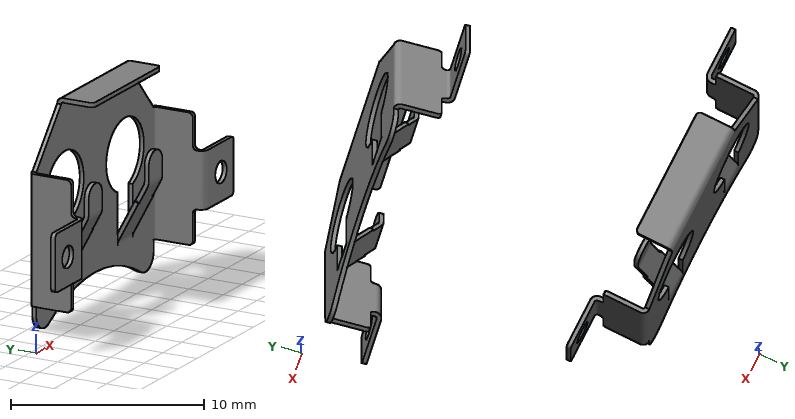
import math

import cadquery as cq


thickness = 0.25
bend_inner = 0.1
bend_outer = bend_inner + thickness
corner_radius = 0.25

overall_width = 19.0
overall_depth = 3.17
top_z = 6.9
bottom_z = -5.1

wall_outer_x = 6.6
wall_inner_x = wall_outer_x - thickness
wall_half_height = 3.6
wall_depth = 2.5

tab_end_x = overall_width / 2
tab_half_height = 1.6
tab_bend_inner = 0.15
tab_bend_outer = tab_bend_inner + thickness
tab_hole_x = 8.15
tab_hole_diameter = 1.2

plate_half_width = wall_outer_x - bend_outer
plate_top_z = top_z - bend_outer
lobe_radius = 0.9
notch_top_z = -3.6

flange_half_width = 3.6
flange_depth = 2.15

window_x = 3.2
window_z = 1.9
window_diameter = 4.0
slot_bottom_z = -2.8
finger_root_width = 1.6
finger_tip_width = 1.45
finger_tip_z = 2.43
finger_reach = 2.05
finger_angle = math.radians(28)
finger_bend_inner = 0.5
finger_bend_outer = finger_bend_inner + thickness
finger_step_distance = 2.5


def arc_point(center, radius, angle):
    """Point on a circle at an angle in radians."""
    return (center[0] + radius * math.cos(angle), center[1] + radius * math.sin(angle))


def make_plate():
    """Flat plate with chamfered shoulders, two rounded lobes and a concave lower edge."""
    lobe_x = plate_half_width - lobe_radius
    lobe_z = bottom_z + lobe_radius
    rise = lobe_z - notch_top_z
    notch_radius = (lobe_x**2 + rise**2 - lobe_radius**2) / (2 * (lobe_radius - rise))
    notch_z = notch_top_z - notch_radius
    to_notch = math.atan2(notch_z - lobe_z, -lobe_x)
    tangent_x, tangent_z = arc_point((lobe_x, lobe_z), lobe_radius, to_notch)
    mid_x, mid_z = arc_point((lobe_x, lobe_z), lobe_radius, to_notch / 2)
    return (
        cq.Workplane("XZ")
        .moveTo(-flange_half_width, plate_top_z)
        .lineTo(flange_half_width, plate_top_z)
        .lineTo(plate_half_width, wall_half_height)
        .lineTo(plate_half_width, lobe_z)
        .threePointArc((mid_x, mid_z), (tangent_x, tangent_z))
        .threePointArc((0, notch_top_z), (-tangent_x, tangent_z))
        .threePointArc((-mid_x, mid_z), (-plate_half_width, lobe_z))
        .lineTo(-plate_half_width, wall_half_height)
        .close()
        .extrude(thickness)
    )


def make_top_flange():
    """Flange along the top edge, bent toward -Y, with rounded free corners."""
    flange = (
        cq.Workplane("YZ")
        .moveTo(0, plate_top_z)
        .radiusArc((-bend_outer, top_z), -bend_outer)
        .lineTo(-flange_depth, top_z)
        .lineTo(-flange_depth, top_z - thickness)
        .lineTo(-bend_outer, top_z - thickness)
        .radiusArc((-thickness, plate_top_z), bend_inner)
        .close()
        .extrude(flange_half_width, both=True)
    )
    return flange.edges("|Z and <Y").fillet(corner_radius)


def make_wall_outline():
    """Block holding the side outline of a wall: a tall part and a narrower neck for the tab."""
    block = (
        cq.Workplane("YZ")
        .moveTo(0, wall_half_height)
        .lineTo(-wall_depth, wall_half_height)
        .lineTo(-wall_depth, tab_half_height)
        .lineTo(-overall_depth, tab_half_height)
        .lineTo(-overall_depth, -tab_half_height)
        .lineTo(-wall_depth, -tab_half_height)
        .lineTo(-wall_depth, -wall_half_height)
        .lineTo(0, -wall_half_height)
        .close()
        .extrude(overall_width)
    )
    wall_edge_corners = cq.selectors.BoxSelector(
        (0, -wall_depth - thickness, -overall_width),
        (overall_width, -wall_depth + thickness, overall_width),
    )
    return block.edges("|X").edges(wall_edge_corners).fillet(corner_radius)


def make_side_bracket():
    """+X side wall bent from the plate, with its mounting tab bent outward."""
    tab_back_y = thickness - overall_depth
    strip = (
        cq.Workplane("XY")
        .moveTo(plate_half_width, 0)
        .radiusArc((wall_outer_x, -bend_outer), bend_outer)
        .lineTo(wall_outer_x, tab_back_y + tab_bend_inner)
        .radiusArc((wall_outer_x + tab_bend_inner, tab_back_y), -tab_bend_inner)
        .lineTo(tab_end_x, tab_back_y)
        .lineTo(tab_end_x, -overall_depth)
        .lineTo(wall_inner_x + tab_bend_outer, -overall_depth)
        .radiusArc((wall_inner_x, tab_bend_outer - overall_depth), tab_bend_outer)
        .lineTo(wall_inner_x, -bend_outer)
        .radiusArc((plate_half_width, -thickness), -bend_inner)
        .close()
        .extrude(wall_half_height, both=True)
    )
    bracket = strip.intersect(make_wall_outline())
    bracket = bracket.edges("|Y and >X").fillet(corner_radius)
    hole = (
        cq.Workplane("XZ")
        .center(tab_hole_x, 0)
        .circle(tab_hole_diameter / 2)
        .extrude(overall_depth)
    )
    return bracket.cut(hole)


def make_window(x):
    """Round window with the slot below it that the finger is cut from."""
    window = (
        cq.Workplane("XZ")
        .center(x, window_z)
        .circle(window_diameter / 2)
        .extrude(thickness)
    )
    slot_height = window_z - slot_bottom_z
    slot = (
        cq.Workplane("XZ")
        .center(x, slot_bottom_z + slot_height / 2)
        .rect(finger_root_width, slot_height)
        .extrude(thickness)
    )
    return window.union(slot)


def make_finger(x):
    """Spring finger: root bend, slope toward -Y, second bend and an upright rounded tip."""
    sin_a = math.sin(finger_angle)
    cos_a = math.cos(finger_angle)
    bend_offset = (finger_bend_inner + finger_bend_outer) * (1 - cos_a)
    slope_length = (finger_reach - thickness - bend_offset) / sin_a

    root_y = -thickness - finger_bend_inner
    root_z = slot_bottom_z
    tip_y = finger_bend_outer - finger_reach
    tip_z = root_z + (finger_bend_inner + finger_bend_outer) * sin_a + slope_length * cos_a

    root_back = arc_point((root_y, root_z), finger_bend_outer, finger_angle)
    root_front = arc_point((root_y, root_z), finger_bend_inner, finger_angle)
    tip_back = arc_point((tip_y, tip_z), -finger_bend_inner, finger_angle)
    tip_front = arc_point((tip_y, tip_z), -finger_bend_outer, finger_angle)
    finger = (
        cq.Workplane("YZ")
        .moveTo(0, root_z)
        .threePointArc(arc_point((root_y, root_z), finger_bend_outer, finger_angle / 2), root_back)
        .lineTo(*tip_back)
        .threePointArc(
            arc_point((tip_y, tip_z), -finger_bend_inner, finger_angle / 2),
            (thickness - finger_reach, tip_z),
        )
        .lineTo(thickness - finger_reach, finger_tip_z)
        .lineTo(-finger_reach, finger_tip_z)
        .lineTo(-finger_reach, tip_z)
        .threePointArc(arc_point((tip_y, tip_z), -finger_bend_outer, finger_angle / 2), tip_front)
        .lineTo(*root_front)
        .threePointArc(
            arc_point((root_y, root_z), finger_bend_inner, finger_angle / 2),
            (-thickness, root_z),
        )
        .close()
        .extrude(finger_root_width / 2, both=True)
    )

    step_plane = cq.Plane(
        origin=(
            0,
            root_front[0] - finger_step_distance * sin_a,
            root_front[1] + finger_step_distance * cos_a,
        ),
        xDir=(1, 0, 0),
        normal=(0, -sin_a, cos_a),
    )
    side_trim = (
        cq.Workplane(step_plane)
        .rect(2 * finger_root_width, 2 * overall_depth)
        .rect(finger_tip_width, 2 * overall_depth)
        .extrude(2 * slope_length)
    )
    finger = finger.cut(side_trim)

    round_z = finger_tip_z - finger_tip_width / 2
    body_height = round_z - slot_bottom_z
    body = (
        cq.Workplane("XZ")
        .center(0, slot_bottom_z + body_height / 2)
        .rect(finger_root_width, body_height)
        .extrude(finger_reach)
    )
    tip = (
        cq.Workplane("XZ")
        .center(0, round_z)
        .circle(finger_tip_width / 2)
        .extrude(finger_reach)
    )
    return finger.intersect(body.union(tip)).translate((x, 0, 0))


bracket = make_side_bracket()
result = make_plate()
for side in (-1, 1):
    result = result.cut(make_window(side * window_x))
    result = result.union(make_finger(side * window_x))
result = result.union(make_top_flange()).union(bracket).union(bracket.mirror("YZ"))